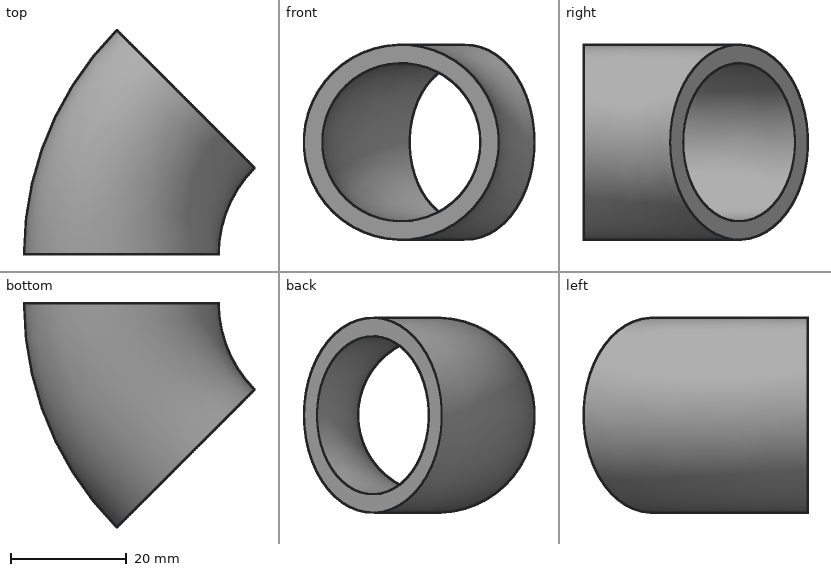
import cadquery as cq

outer_diameter = 33.7
wall_thickness = 3.2
bend_radius = 38.0
bend_angle = 45.0

inner_diameter = outer_diameter - 2 * wall_thickness


def elbow():
    """Revolve the annular end face, lying in the XZ plane, about a vertical axis at X = bend_radius."""
    ring = cq.Workplane("XZ").circle(outer_diameter / 2).circle(inner_diameter / 2)
    axis_start = (bend_radius, 0)
    axis_end = (bend_radius, -1)
    return ring.revolve(bend_angle, axis_start, axis_end)


result = elbow()